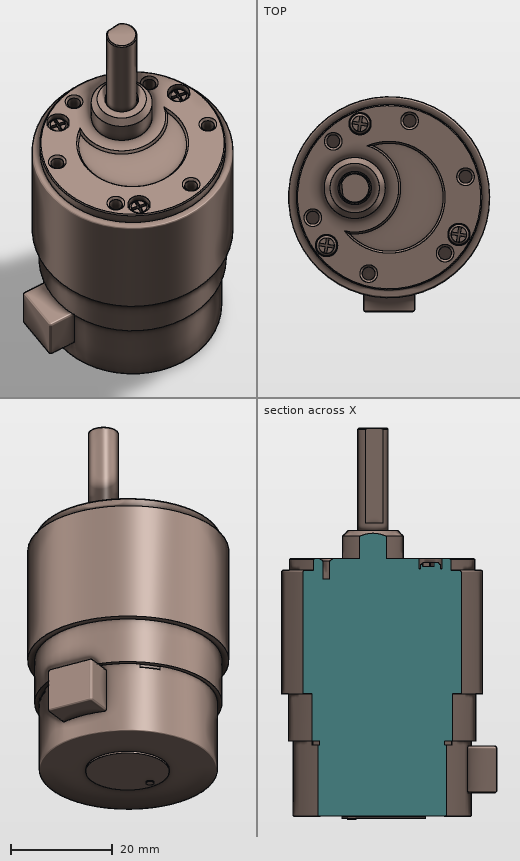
import cadquery as cq
import math

MOTOR_BOTTOM = 0.6
COLLAR_BOTTOM = 15.35
GEARBOX_BOTTOM = 24.6
GEARBOX_TOP = 48.9
FACE_TOP = 51.2
BOSS_TOP = 56.7
SHAFT_TOP = 76.75

MOTOR_DIAMETER = 35.0
COLLAR_DIAMETER = 36.8
GEARBOX_DIAMETER = 39.45
FACE_DIAMETER = 36.4
MOTOR_EDGE = 0.3
GEARBOX_EDGE = 0.4
FACE_EDGE = 0.2

SHAFT_OFFSET = 7.0
SHAFT_ANGLE = 165
BOSS_DIAMETER = 12.0
BOSS_CHAMFER = 1.15
SHAFT_DIAMETER = 6.0
SHAFT_EDGE = 0.2
FLAT_DISTANCE = 2.45
FLAT_TURN = 6
BORE_DIAMETER = 6.5
BORE_DEPTH = 1.15
FLAT_BOTTOM = 58.2

RECESS_DIAMETER = 21.95
RECESS_ISLAND_DIAMETER = 17.3
RECESS_DEPTH = 0.5
RECESS_SLOPE = 0.4

HOLE_CIRCLE_RADIUS = 15.5
HOLE_COUNT = 6
FIRST_HOLE_ANGLE = 15
HOLE_DIAMETER = 2.5
HOLE_DEPTH = 4.0
HOLE_CHAMFER = 0.45

SCREW_ANGLES = (111.6, 217.7, 331.9)
SCREW_POCKET_DIAMETER = 4.4
SCREW_POCKET_DEPTH = 2.0
SCREW_HEAD_DIAMETER = 4.0
SCREW_HEAD_HEIGHT = 1.2
SCREW_HEAD_CHAMFER = 0.45
CROSS_LENGTH = 3.0
CROSS_WIDTH = 0.5
CROSS_DEPTH = 0.8
CROSS_TURN = -9

BLOCK_WIDTH = 10.05
BLOCK_BOTTOM = 5.2
BLOCK_TOP = 14.4
BLOCK_REACH = 22.5
BLOCK_EDGE = 0.5

NOTCH_COUNT = 4
NOTCH_WIDTH = 4.1
NOTCH_HEIGHT = 0.7
NOTCH_DEPTH = 0.2

PLATE_DIAMETER = 16.4
PLATE_Y = -0.3
PLATE_BOTTOM = 0.2
PIN_DIAMETER = 1.6
PIN_X = 1.4
PIN_Y = 6.0

SHAFT_X = SHAFT_OFFSET * math.cos(math.radians(SHAFT_ANGLE))
SHAFT_Y = SHAFT_OFFSET * math.sin(math.radians(SHAFT_ANGLE))


def disc(diameter, bottom, top, x=0.0, y=0.0):
    """Upright cylinder between two heights."""
    return cq.Workplane("XY", origin=(x, y, bottom)).circle(diameter / 2).extrude(top - bottom)


def cone(bottom_diameter, top_diameter, bottom, top, x=0.0, y=0.0):
    """Upright truncated cone between two heights."""
    solid = cq.Solid.makeCone(
        bottom_diameter / 2, top_diameter / 2, top - bottom, pnt=cq.Vector(x, y, bottom)
    )
    return cq.Workplane(obj=solid)


def on_hole_circle(angle):
    """X and Y of a point on the pitch circle of the holes and screws."""
    turn = math.radians(angle)
    return HOLE_CIRCLE_RADIUS * math.cos(turn), HOLE_CIRCLE_RADIUS * math.sin(turn)


def make_body():
    motor = disc(MOTOR_DIAMETER, MOTOR_BOTTOM, COLLAR_BOTTOM).faces("<Z").edges().fillet(MOTOR_EDGE)
    collar = disc(COLLAR_DIAMETER, COLLAR_BOTTOM, GEARBOX_BOTTOM)
    gearbox = disc(GEARBOX_DIAMETER, GEARBOX_BOTTOM, GEARBOX_TOP)
    gearbox = gearbox.faces(">Z").edges().fillet(GEARBOX_EDGE)
    face = disc(FACE_DIAMETER, GEARBOX_TOP, FACE_TOP).faces(">Z").edges().chamfer(FACE_EDGE)
    return motor.union(collar).union(gearbox).union(face)


def make_recess():
    """Crescent with sloping walls: a shallow round pocket around an island under the boss."""
    floor = FACE_TOP - RECESS_DEPTH
    pocket = cone(RECESS_DIAMETER - 2 * RECESS_SLOPE, RECESS_DIAMETER, floor, FACE_TOP)
    island = cone(
        RECESS_ISLAND_DIAMETER + 2 * RECESS_SLOPE, RECESS_ISLAND_DIAMETER, floor, FACE_TOP, SHAFT_X, SHAFT_Y
    )
    return pocket.cut(island)


def make_boss():
    """Chamfered boss with a shallow clearance bore around the shaft."""
    boss = disc(BOSS_DIAMETER, FACE_TOP, BOSS_TOP, SHAFT_X, SHAFT_Y)
    boss = boss.faces(">Z").edges().chamfer(BOSS_CHAMFER)
    return boss.cut(disc(BORE_DIAMETER, BOSS_TOP - BORE_DEPTH, BOSS_TOP, SHAFT_X, SHAFT_Y))


def make_shaft():
    """Round shaft with a flat along its upper length, facing a little off -X."""
    shaft = disc(SHAFT_DIAMETER, FACE_TOP, SHAFT_TOP, SHAFT_X, SHAFT_Y)
    shaft = shaft.faces(">Z").edges().chamfer(SHAFT_EDGE)
    cutter = cq.Workplane("XY", origin=(FLAT_DISTANCE, 0, FLAT_BOTTOM)).box(
        SHAFT_DIAMETER, SHAFT_DIAMETER, SHAFT_TOP - FLAT_BOTTOM, centered=(False, True, False)
    )
    cutter = cutter.rotate((0, 0, 0), (0, 0, 1), 180 + FLAT_TURN)
    return shaft.cut(cutter.translate((SHAFT_X, SHAFT_Y, 0)))


def make_mounting_hole(angle):
    x, y = on_hole_circle(angle)
    bore = disc(HOLE_DIAMETER, FACE_TOP - HOLE_DEPTH, FACE_TOP, x, y)
    mouth = cone(HOLE_DIAMETER, HOLE_DIAMETER + 2 * HOLE_CHAMFER, FACE_TOP - HOLE_CHAMFER, FACE_TOP, x, y)
    return bore.union(mouth)


def make_screw_pocket(angle):
    x, y = on_hole_circle(angle)
    return disc(SCREW_POCKET_DIAMETER, FACE_TOP - SCREW_POCKET_DEPTH, FACE_TOP, x, y)


def make_screw(angle):
    """Cross-head screw standing on the floor of its pocket."""
    x, y = on_hole_circle(angle)
    floor = FACE_TOP - SCREW_POCKET_DEPTH
    top = floor + SCREW_HEAD_HEIGHT
    head = disc(SCREW_HEAD_DIAMETER, floor, top, x, y).faces(">Z").edges().chamfer(SCREW_HEAD_CHAMFER)
    cross = (
        cq.Workplane("XY")
        .rect(CROSS_LENGTH, CROSS_WIDTH)
        .extrude(CROSS_DEPTH)
        .union(cq.Workplane("XY").rect(CROSS_WIDTH, CROSS_LENGTH).extrude(CROSS_DEPTH))
        .rotate((0, 0, 0), (0, 0, 1), CROSS_TURN)
    )
    return head.cut(cross.translate((x, y, top - CROSS_DEPTH)))


def make_block():
    """Terminal block from the motor axis out to -Y, with rounded outer edges."""
    block = cq.Workplane("XY", origin=(0, 0, BLOCK_BOTTOM)).box(
        BLOCK_WIDTH, BLOCK_REACH, BLOCK_TOP - BLOCK_BOTTOM, centered=(True, False, False)
    )
    block = block.translate((0, -BLOCK_REACH, 0))
    return block.edges("|Y or <Y").fillet(BLOCK_EDGE)


def make_notch(angle):
    """Short piece of a ring in the motor wall, cut to the notch width."""
    bottom = COLLAR_BOTTOM - NOTCH_HEIGHT
    ring = disc(MOTOR_DIAMETER, bottom, COLLAR_BOTTOM)
    ring = ring.cut(disc(MOTOR_DIAMETER - 2 * NOTCH_DEPTH, bottom, COLLAR_BOTTOM))
    bar = cq.Workplane("XY", origin=(0, 0, bottom)).box(
        MOTOR_DIAMETER, NOTCH_WIDTH, NOTCH_HEIGHT, centered=(False, True, False)
    )
    return ring.intersect(bar).rotate((0, 0, 0), (0, 0, 1), angle)


result = make_body().cut(make_recess()).union(make_boss()).union(make_shaft())
result = result.union(make_block())

for index in range(HOLE_COUNT):
    result = result.cut(make_mounting_hole(FIRST_HOLE_ANGLE + index * 360 / HOLE_COUNT))

for screw_angle in SCREW_ANGLES:
    result = result.cut(make_screw_pocket(screw_angle)).union(make_screw(screw_angle))

for index in range(NOTCH_COUNT):
    result = result.cut(make_notch((index + 0.5) * 360 / NOTCH_COUNT))

result = result.union(disc(PLATE_DIAMETER, PLATE_BOTTOM, MOTOR_BOTTOM, 0, PLATE_Y))
result = result.union(disc(PIN_DIAMETER, 0, MOTOR_BOTTOM, PIN_X, PIN_Y))